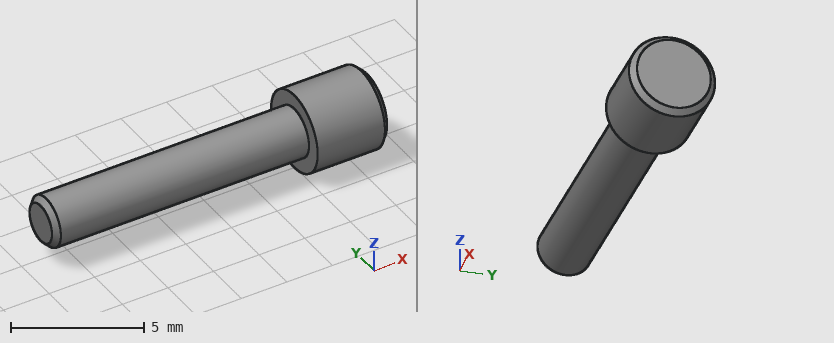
import cadquery as cq

total_length = 14.32
head_length = 3.2
head_diameter = 3.38
shank_diameter = 2.12
chamfer_size = 0.25

shank_length = total_length - head_length
tip_x = -total_length / 2


def cylinder_along_x(start_x, length, diameter):
    """Solid cylinder centred on the X axis, starting at start_x."""
    return cq.Workplane("YZ", origin=(start_x, 0, 0)).circle(diameter / 2).extrude(length)


shank = cylinder_along_x(tip_x, shank_length, shank_diameter)
shank = shank.faces("<X").chamfer(chamfer_size)

head = cylinder_along_x(tip_x + shank_length, head_length, head_diameter)
head = head.faces(">X").chamfer(chamfer_size)

result = shank.union(head)